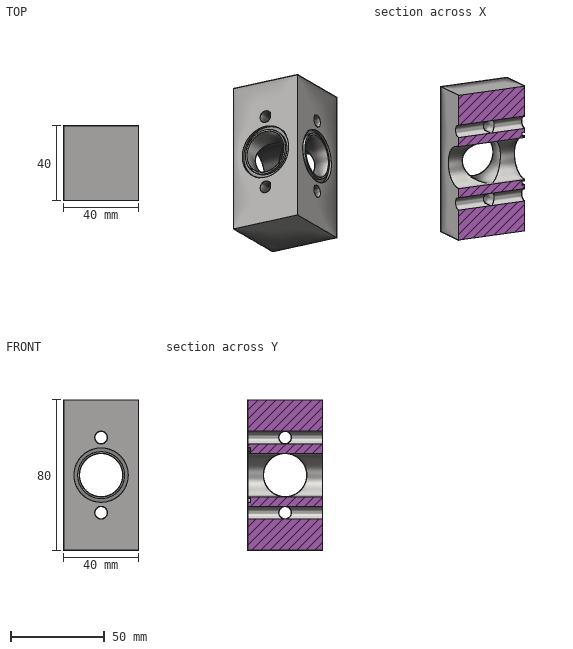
import cadquery as cq

block_width = 40.0
block_height = 2 * block_width

bore_diameter = 23.0
groove_inner_diameter = 25.0
groove_outer_diameter = 29.0
groove_depth = 1.5
bolt_hole_diameter = 6.6
bolt_hole_spacing = 40.0


def through_holes(plane):
    """Main bore with a bolt hole above and below it, passing through the block."""
    bore = cq.Workplane(plane).circle(bore_diameter / 2).extrude(block_width / 2, both=True)
    bolt_holes = (
        cq.Workplane(plane)
        .pushPoints([(0, bolt_hole_spacing / 2), (0, -bolt_hole_spacing / 2)])
        .circle(bolt_hole_diameter / 2)
        .extrude(block_width / 2, both=True)
    )
    return bore.union(bolt_holes)


def seal_groove(face):
    """Annular seal groove around the bore, sunk into one side face of the block."""
    return (
        block.faces(face)
        .workplane(centerOption="CenterOfBoundBox")
        .circle(groove_outer_diameter / 2)
        .circle(groove_inner_diameter / 2)
        .extrude(-groove_depth, combine=False)
    )


block = cq.Workplane("XY").box(block_width, block_width, block_height)
result = block

for plane in ("XZ", "YZ"):
    result = result.cut(through_holes(plane))

for face in ("<X", "<Y"):
    result = result.cut(seal_groove(face))